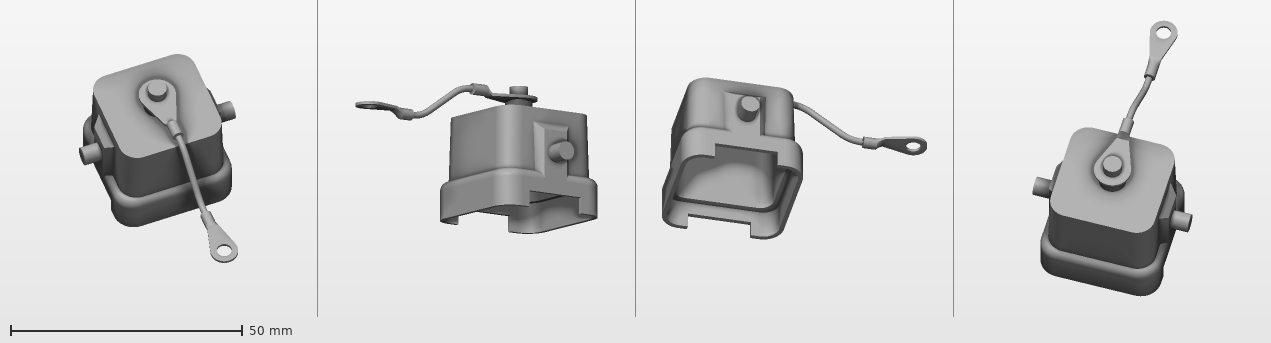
import cadquery as cq
import math

overall_length = 56.6

skirt_side = 26.95
skirt_height = 8.5
skirt_corner_radius = 4.5
skirt_edge_radius = 2.0
wall = 1.0

hood_base_side = 24.0
hood_top_side = 23.3
hood_top = 22.4
hood_corner_radius = 4.0
hood_height = hood_top - skirt_height

notch_width = 14.0
notch_height = 3.5

pad_width = 6.0
pad_bottom = 5.65
pad_top = 17.5
pad_depth = (skirt_side - hood_top_side) / 2 + wall / 2
pin_diameter = 4.0
pin_span = 34.8
pin_height = 12.45

boss_diameter = 6.0
boss_top = 25.5
stud_diameter = 4.0
stud_top = 29.0

eyelet_thickness = 0.6
eyelet_neck_width = 2.7
near_eyelet_radius = 4.0
near_eyelet_bottom = 26.05
near_neck_x = 8.05
near_sleeve_start = 8.95
near_sleeve_end = 12.5
far_eyelet_radius = 3.0
far_eyelet_hole = 3.2
far_eyelet_top = 20.95
far_eyelet_x = overall_length - skirt_side / 2 - far_eyelet_radius
far_neck_x = 33.55
far_sleeve_start = 29.0
far_sleeve_end = 31.85
sleeve_diameter = 2.5
near_sleeve_z = near_eyelet_bottom + sleeve_diameter / 2
far_sleeve_z = far_eyelet_top - sleeve_diameter / 2
cable_diameter = 1.45
cable_bend_radius = 8.0
core_diameter = 0.55
core_gap = 0.3


def rounded_square(side, radius):
    return cq.Sketch().rect(side, side).vertices().fillet(radius)


def tapered_block(base_z, base_side, height, top_side, radius):
    """Round-cornered block that narrows from its base to its top."""
    return (
        cq.Workplane("XY", origin=(0, 0, base_z))
        .placeSketch(
            rounded_square(base_side, radius),
            rounded_square(top_side, radius).moved(cq.Location(cq.Vector(0, 0, height))),
        )
        .loft()
    )


def straight_block(side, height, radius):
    return cq.Workplane("XY").placeSketch(rounded_square(side, radius)).extrude(height)


def cylinder_z(diameter, bottom, top):
    return cq.Workplane("XY", origin=(0, 0, bottom)).circle(diameter / 2).extrude(top - bottom)


def cylinder_x(diameter, start, end, z):
    return cq.Workplane("YZ", origin=(start, 0, z)).circle(diameter / 2).extrude(end - start)


def front_pad():
    """Pad flush with the front of the skirt, its flanks widening towards the hood."""
    height = pad_top - pad_bottom
    spread = 2 * pad_depth
    return (
        cq.Workplane("XZ", origin=(0, -skirt_side / 2, pad_bottom + height / 2))
        .rect(pad_width, height)
        .workplane(offset=-pad_depth)
        .rect(pad_width + spread, height + spread)
        .loft()
    )


def cap_shell():
    """Hollow hood and skirt with pads, notches and latch pins."""
    skirt = straight_block(skirt_side, skirt_height, skirt_corner_radius)
    skirt = skirt.faces(">Z").edges().fillet(skirt_edge_radius)
    hood_start = skirt_height - skirt_edge_radius
    draft = (hood_base_side - hood_top_side) / hood_height
    start_side = hood_base_side + draft * skirt_edge_radius
    hood = tapered_block(
        hood_start, start_side, hood_top - hood_start, hood_top_side, hood_corner_radius
    )
    pad = front_pad()
    body = skirt.union(hood).union(pad).union(pad.mirror("XZ"))

    skirt_cavity = straight_block(skirt_side - 2 * wall, hood_start, skirt_corner_radius - wall)
    hood_cavity = tapered_block(
        hood_start,
        start_side - 2 * wall,
        hood_top - wall - hood_start,
        hood_top_side - 2 * wall,
        hood_corner_radius - wall,
    )
    notch = cq.Workplane("XY").rect(notch_width, skirt_side).extrude(notch_height)
    body = body.cut(skirt_cavity).cut(hood_cavity).cut(notch)

    pin_length = (pin_span - skirt_side) / 2 + wall
    pin = (
        cq.Workplane("XZ", origin=(0, -pin_span / 2, pin_height))
        .circle(pin_diameter / 2)
        .extrude(-pin_length)
    )
    return body.union(pin).union(pin.mirror("XZ"))


def eyelet(center_x, radius, neck_x, bottom):
    """Flat disc with straight sides running tangentially to the neck."""
    reach = neck_x - center_x
    half_neck = eyelet_neck_width / 2
    direction = math.atan2(half_neck, reach)
    spread = math.acos(radius / math.hypot(reach, half_neck))
    tangent_angle = direction + (spread if reach > 0 else -spread)
    tangent_x = center_x + radius * math.cos(tangent_angle)
    tangent_y = radius * math.sin(tangent_angle)
    outer_x = center_x - math.copysign(radius, reach)
    return (
        cq.Workplane("XY", origin=(0, 0, bottom))
        .moveTo(neck_x, -half_neck)
        .lineTo(tangent_x, -tangent_y)
        .threePointArc((outer_x, 0), (tangent_x, tangent_y))
        .lineTo(neck_x, half_neck)
        .close()
        .extrude(eyelet_thickness)
    )


def neck_transition(neck_x, eyelet_bottom, sleeve_x, sleeve_z):
    """Blend from the flat eyelet neck to the round crimp sleeve."""
    eyelet_middle = eyelet_bottom + eyelet_thickness / 2
    return (
        cq.Workplane("YZ", origin=(neck_x, 0, eyelet_middle))
        .rect(eyelet_neck_width, eyelet_thickness)
        .workplane(offset=sleeve_x - neck_x)
        .center(0, sleeve_z - eyelet_middle)
        .circle(sleeve_diameter / 2)
        .loft()
    )


def cable():
    """S-shaped cable: two equal bends joined by a straight length tangent to both."""
    start_x = near_sleeve_end + core_gap
    end_x = far_sleeve_start - core_gap
    half_run = (end_x - start_x) / 2
    half_drop = (near_sleeve_z - far_sleeve_z) / 2
    rise = cable_bend_radius - half_drop
    bend = math.atan2(half_run, rise) - math.acos(cable_bend_radius / math.hypot(half_run, rise))

    def bend_offset(angle):
        return cable_bend_radius * math.sin(angle), cable_bend_radius * (1 - math.cos(angle))

    mid_x, mid_z = bend_offset(bend / 2)
    tip_x, tip_z = bend_offset(bend)
    path = (
        cq.Workplane("XZ")
        .moveTo(start_x, near_sleeve_z)
        .threePointArc((start_x + mid_x, near_sleeve_z - mid_z), (start_x + tip_x, near_sleeve_z - tip_z))
        .lineTo(end_x - tip_x, far_sleeve_z + tip_z)
        .threePointArc((end_x - mid_x, far_sleeve_z + mid_z), (end_x, far_sleeve_z))
    )
    profile = cq.Workplane("YZ", origin=(start_x, 0, near_sleeve_z)).circle(cable_diameter / 2)
    near_core = cylinder_x(core_diameter, near_sleeve_end, start_x, near_sleeve_z)
    far_core = cylinder_x(core_diameter, end_x, far_sleeve_start, far_sleeve_z)
    return profile.sweep(path).union(near_core).union(far_core)


def lanyard():
    far_eyelet_bottom = far_eyelet_top - eyelet_thickness
    far_hole = (
        cq.Workplane("XY", origin=(far_eyelet_x, 0, far_eyelet_bottom))
        .circle(far_eyelet_hole / 2)
        .extrude(eyelet_thickness)
    )
    near = (
        eyelet(0, near_eyelet_radius, near_neck_x, near_eyelet_bottom)
        .union(neck_transition(near_neck_x, near_eyelet_bottom, near_sleeve_start, near_sleeve_z))
        .union(cylinder_x(sleeve_diameter, near_sleeve_start, near_sleeve_end, near_sleeve_z))
    )
    far = (
        eyelet(far_eyelet_x, far_eyelet_radius, far_neck_x, far_eyelet_bottom)
        .cut(far_hole)
        .union(neck_transition(far_neck_x, far_eyelet_bottom, far_sleeve_end, far_sleeve_z))
        .union(cylinder_x(sleeve_diameter, far_sleeve_start, far_sleeve_end, far_sleeve_z))
    )
    return near.union(cable()).union(far)


boss = cylinder_z(boss_diameter, hood_top, boss_top)
stud = cylinder_z(stud_diameter, boss_top, stud_top)

result = cap_shell().union(boss).union(stud).union(lanyard())